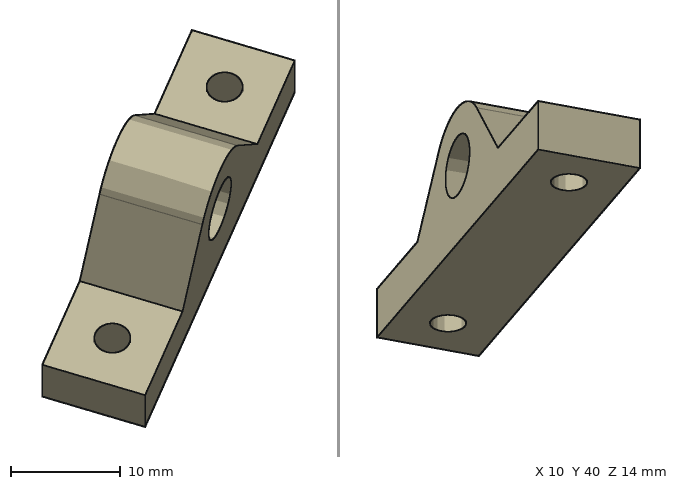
import cadquery as cq
import math

width = 10.0
base_length = 40.0
base_height = 5.0

bore_diameter = 6.0
bore_height = base_height + bore_diameter / 2
hump_radius = 6.0
hump_foot = 10.0

mount_hole_diameter = 3.3
mount_hole_spacing = 30.0


def flank_tangent_point():
    """Y and Z where the flank rising from the +Y foot touches the round top."""
    foot_drop = base_height - bore_height
    foot_angle = math.atan2(foot_drop, hump_foot)
    foot_distance = math.hypot(hump_foot, foot_drop)
    angle = foot_angle + math.acos(hump_radius / foot_distance)
    return hump_radius * math.cos(angle), bore_height + hump_radius * math.sin(angle)


def bracket_body():
    """Base and hump as one side profile, extruded across the width."""
    half_length = base_length / 2
    tangent_y, tangent_z = flank_tangent_point()
    return (
        cq.Workplane("YZ", origin=(-width / 2, 0, 0))
        .moveTo(-half_length, 0)
        .lineTo(half_length, 0)
        .lineTo(half_length, base_height)
        .lineTo(hump_foot, base_height)
        .lineTo(tangent_y, tangent_z)
        .threePointArc((0, bore_height + hump_radius), (-tangent_y, tangent_z))
        .lineTo(-hump_foot, base_height)
        .lineTo(-half_length, base_height)
        .close()
        .extrude(width)
    )


def bore():
    """Shaft bore through the hump along X."""
    return (
        cq.Workplane("YZ", origin=(-width / 2, 0, 0))
        .center(0, bore_height)
        .circle(bore_diameter / 2)
        .extrude(width)
    )


def mounting_holes():
    """Vertical through holes, one near each end of the base."""
    return (
        cq.Workplane("XY")
        .rarray(1, mount_hole_spacing, 1, 2)
        .circle(mount_hole_diameter / 2)
        .extrude(base_height)
    )


result = bracket_body().cut(bore()).cut(mounting_holes())